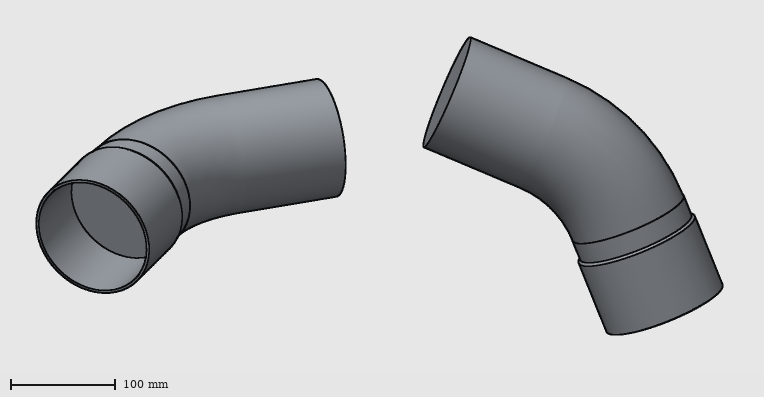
import cadquery as cq
import math

overall_length = 314.3
pipe_diameter = 114.5
neck_diameter = 115.0
socket_diameter = 120.0
socket_bore = 114.5
socket_length = 75.0
bore_depth = 71.7
bend_start = 95.2
bend_angle = 45.0
bend_radius = 152.5

pipe_radius = pipe_diameter / 2

socket_chamfer = (socket_diameter - neck_diameter) / 2

sine = math.sin(math.radians(bend_angle))
cosine = math.cos(math.radians(bend_angle))

bend_end_x = bend_radius * (1 - cosine)
bend_end_y = bend_start + bend_radius * sine

outlet_length = (overall_length - bend_end_y - pipe_radius * sine) / cosine


def cylinder(x, y, direction, diameter, length):
    """Cylinder in the XY plane from its end centre along a direction."""
    return cq.Workplane(
        cq.Solid.makeCylinder(diameter / 2, length, cq.Vector(x, y, 0), cq.Vector(*direction))
    )


def make_socket():
    """Collar with a chamfer where it meets the neck."""
    collar = cylinder(0, 0, (0, 1, 0), socket_diameter, socket_length)
    return collar.faces(">Y").chamfer(socket_chamfer)


def make_bend():
    """Circular section swept around an axis parallel to Z."""
    section = cq.Workplane("XZ", origin=(0, bend_start, 0)).circle(pipe_radius)
    return section.revolve(bend_angle, (bend_radius, 0, 0), (bend_radius, -1, 0))


neck = cylinder(0, 0, (0, 1, 0), neck_diameter, bend_start)
outlet = cylinder(bend_end_x, bend_end_y, (sine, cosine, 0), pipe_diameter, outlet_length)
bore = cylinder(0, 0, (0, 1, 0), socket_bore, bore_depth)

result = make_socket().union(neck).union(make_bend()).union(outlet).cut(bore)